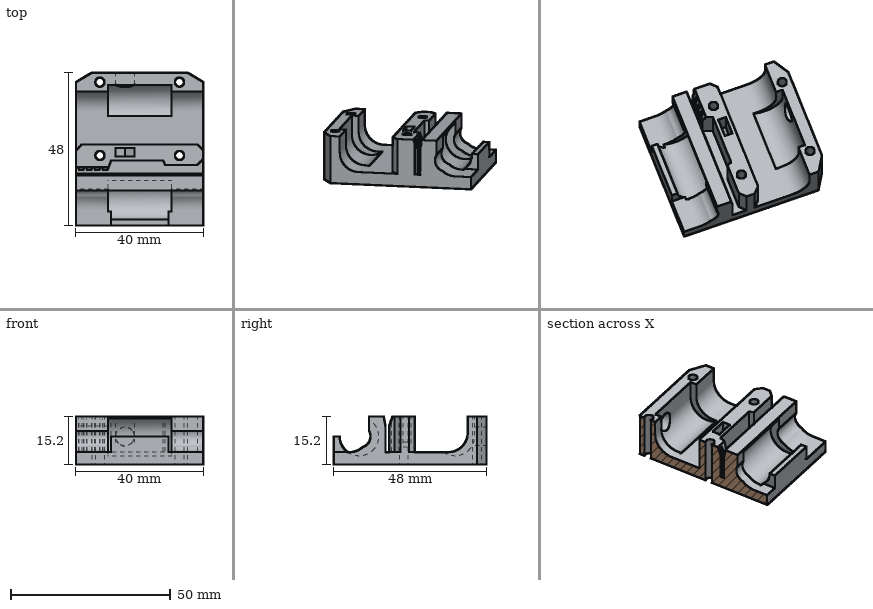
import cadquery as cq
import math

WIDTH = 40.0
DEPTH = 48.0
HEIGHT = 15.15
FLOOR_Z = 4.0
HALF_WIDTH = WIDTH / 2

CORNER_X = 5.0
CORNER_Y = 3.0

ROD_Z = 8.9
ROD_RADIUS = 3.5
BEARING_RADIUS = 6.1
BEARING_LENGTH = 20.0
FRONT_ROD_Y = 8.0
REAR_ROD_Y = 38.05
CHANNEL_FILLET = 6.0
REAR_WALL_Y = 42.0

FRONT_WALL_Y = 11.05
FRONT_WALL_BACK_Y = 16.25
FRONT_WALL_TOP_BACK_Y = 15.75
LEAD_IN_Z = 12.15

LIP_WIDTH = 17.95
LIP_HEIGHT = ROD_Z

RIB_BACK_Y = 25.5
RIB_RECESS_Y = 20.45
RIB_RIGHT_Y = 19.0
RIB_CHAMFER = 1.9
RECESS_LEFT_X = -8.95
RECESS_RIGHT_X = 7.4
RECESS_SLOPE = 0.39
TOOTH_ROOT_Y = 18.15
TOOTH_TIP_Y = 17.4
GRIP_TOP_Y = 18.45
TOOTH_COUNT = 4
TOOTH_PITCH = 2.5
FIRST_TOOTH_X = -HALF_WIDTH + 1.7
TOOTH_TIP_WIDTH = 1.35
TOOTH_ROOT_WIDTH = 1.75

HOLE_DIAMETER = 2.8
HOLE_X = 12.5
HOLE_ROWS_Y = (22.0, 45.0)

NUT_X = -4.6
NUT_Y = 23.0
NUT_THICKNESS = 2.55
NUT_FLATS = 5.85
NUT_Z = ROD_Z
ACCESS_RADIUS = NUT_FLATS / 2


def box(x0, x1, y0, y1, z0, z1):
    return cq.Workplane("XY").box(x1 - x0, y1 - y0, z1 - z0, centered=False).translate((x0, y0, z0))


def along_x(sketch, length):
    """Extrude a YZ outline symmetrically about the middle of the part."""
    return sketch.extrude(length).translate((-length / 2, 0, 0))


def yz():
    return cq.Workplane("YZ")


def body_blank():
    """Full-height block with the two rear corners cut off."""
    return (
        cq.Workplane("XY")
        .moveTo(-HALF_WIDTH, 0)
        .lineTo(HALF_WIDTH, 0)
        .lineTo(HALF_WIDTH, DEPTH - CORNER_Y)
        .lineTo(HALF_WIDTH - CORNER_X, DEPTH)
        .lineTo(-HALF_WIDTH + CORNER_X, DEPTH)
        .lineTo(-HALF_WIDTH, DEPTH - CORNER_Y)
        .close()
        .extrude(HEIGHT)
    )


def open_channel(start_y, wall_y):
    """Space above the floor, rounded where it meets the wall behind it."""
    centre_y = wall_y - CHANNEL_FILLET
    centre_z = FLOOR_Z + CHANNEL_FILLET
    diagonal = CHANNEL_FILLET * math.sqrt(0.5)
    sketch = (
        yz()
        .moveTo(start_y, FLOOR_Z)
        .lineTo(centre_y, FLOOR_Z)
        .threePointArc((centre_y + diagonal, centre_z - diagonal), (wall_y, centre_z))
        .lineTo(wall_y, HEIGHT)
        .lineTo(start_y, HEIGHT)
        .close()
    )
    return along_x(sketch, WIDTH)


def front_wall_taper():
    sketch = yz().polyline([
        (FRONT_WALL_BACK_Y, LEAD_IN_Z),
        (FRONT_WALL_BACK_Y, HEIGHT),
        (FRONT_WALL_TOP_BACK_Y, HEIGHT),
    ]).close()
    return along_x(sketch, WIDTH)


def central_rib():
    """Rib standing on the floor, including the belt teeth."""
    recess_drop = RIB_RECESS_Y - RIB_RIGHT_Y
    tip_end_x = RECESS_LEFT_X - RECESS_SLOPE * (RIB_RECESS_Y - TOOTH_TIP_Y)
    outline = [
        (-HALF_WIDTH, RIB_BACK_Y - RIB_CHAMFER),
        (-HALF_WIDTH + RIB_CHAMFER, RIB_BACK_Y),
        (HALF_WIDTH - RIB_CHAMFER, RIB_BACK_Y),
        (HALF_WIDTH, RIB_BACK_Y - RIB_CHAMFER),
        (HALF_WIDTH, RIB_RIGHT_Y + RIB_CHAMFER),
        (HALF_WIDTH - RIB_CHAMFER, RIB_RIGHT_Y),
        (RECESS_RIGHT_X + RECESS_SLOPE * recess_drop, RIB_RIGHT_Y),
        (RECESS_RIGHT_X, RIB_RECESS_Y),
        (RECESS_LEFT_X, RIB_RECESS_Y),
        (tip_end_x, TOOTH_TIP_Y),
    ]
    for i in reversed(range(TOOTH_COUNT)):
        tooth_x = FIRST_TOOTH_X + i * TOOTH_PITCH
        if i < TOOTH_COUNT - 1:
            outline.append((tooth_x + TOOTH_ROOT_WIDTH / 2, TOOTH_ROOT_Y))
            outline.append((tooth_x + TOOTH_TIP_WIDTH / 2, TOOTH_TIP_Y))
        outline.append((tooth_x - TOOTH_TIP_WIDTH / 2, TOOTH_TIP_Y))
        outline.append((tooth_x - TOOTH_ROOT_WIDTH / 2, TOOTH_ROOT_Y))
    outline.append((-HALF_WIDTH, TOOTH_ROOT_Y))
    rib = cq.Workplane("XY").polyline(outline).close().extrude(HEIGHT)

    taper = yz().polyline([
        (TOOTH_TIP_Y, LEAD_IN_Z),
        (GRIP_TOP_Y, HEIGHT),
        (TOOTH_TIP_Y, HEIGHT),
    ]).close()
    return rib.cut(along_x(taper, WIDTH))


def front_lip():
    half = LIP_WIDTH / 2
    return box(-half, half, 0, FRONT_ROD_Y, 0, LIP_HEIGHT)


def cylinder_x(y, radius, length):
    return along_x(yz().center(y, ROD_Z).circle(radius), length)


def front_bearing_seat():
    """Round seat whose overhang becomes a 45 degree slope."""
    reach = BEARING_RADIUS * math.sqrt(0.5)
    peak = BEARING_RADIUS * math.sqrt(2)
    roof = yz().polyline([
        (FRONT_ROD_Y, ROD_Z),
        (FRONT_ROD_Y + reach, ROD_Z + reach),
        (FRONT_ROD_Y, ROD_Z + peak),
    ]).close()
    seat = cylinder_x(FRONT_ROD_Y, BEARING_RADIUS, BEARING_LENGTH)
    return seat.union(along_x(roof, BEARING_LENGTH))


def rear_bearing_seat():
    """Round seat that opens straight up through the top."""
    half = BEARING_LENGTH / 2
    opening = box(-half, half, REAR_ROD_Y, REAR_ROD_Y + BEARING_RADIUS, ROD_Z, HEIGHT)
    return cylinder_x(REAR_ROD_Y, BEARING_RADIUS, BEARING_LENGTH).union(opening)


def screw_holes():
    points = [(side * HOLE_X, y) for side in (-1, 1) for y in HOLE_ROWS_Y]
    return cq.Workplane("XY").pushPoints(points).circle(HOLE_DIAMETER / 2).extrude(HEIGHT)


def nut_slot():
    """Slot open at the top, with the lower half of a hexagon as its bottom."""
    half = NUT_FLATS / 2
    side_drop = half * math.tan(math.radians(30))
    point_drop = half / math.cos(math.radians(30))
    return (
        cq.Workplane("XZ", origin=(NUT_X, NUT_Y, 0))
        .polyline([
            (-half, HEIGHT),
            (-half, NUT_Z - side_drop),
            (0, NUT_Z - point_drop),
            (half, NUT_Z - side_drop),
            (half, HEIGHT),
        ])
        .close()
        .extrude(NUT_THICKNESS / 2, both=True)
    )


def access_bore():
    """Bore along Y through the rear wall, in line with the nut slot."""
    return (
        cq.Workplane("XZ", origin=(NUT_X, REAR_ROD_Y, NUT_Z))
        .circle(ACCESS_RADIUS)
        .extrude(REAR_ROD_Y - DEPTH)
    )


result = (
    body_blank()
    .cut(open_channel(0, FRONT_WALL_Y))
    .cut(box(-HALF_WIDTH, HALF_WIDTH, FRONT_WALL_BACK_Y, RIB_BACK_Y, FLOOR_Z, HEIGHT))
    .cut(open_channel(RIB_BACK_Y, REAR_WALL_Y))
    .cut(front_wall_taper())
    .union(central_rib())
    .union(front_lip())
    .cut(cylinder_x(FRONT_ROD_Y, ROD_RADIUS, WIDTH))
    .cut(front_bearing_seat())
    .cut(rear_bearing_seat())
    .cut(screw_holes())
    .cut(nut_slot())
    .cut(access_bore())
)